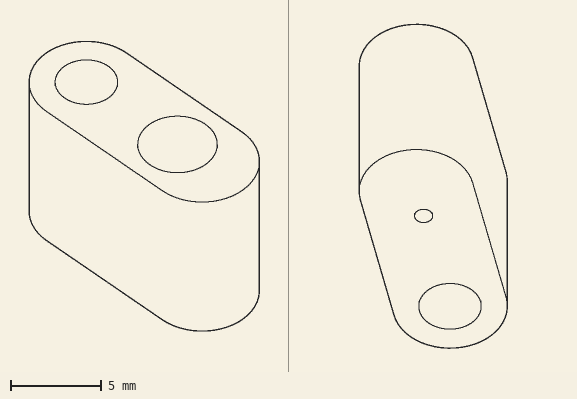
import cadquery as cq
import math

length = 15.24
width = 6.35
height = 10.17
end_centre_x = (length - width) / 2

through_diameter = 3.46

hole_spacing = 7.0
bore_diameter = 4.4
bore_depth = 7.62
outlet_diameter = 1.0
cone_angle = 118.0


def make_block():
    """Upright block with fully rounded ends, standing on Z = 0."""
    return cq.Workplane("XY").slot2D(length, width).extrude(height)


def make_through_hole():
    return (
        cq.Workplane("XY")
        .center(-end_centre_x, 0)
        .circle(through_diameter / 2)
        .extrude(height)
    )


def make_stepped_hole():
    """Half-section of the bore, cone and outlet, revolved about the hole axis."""
    bore_radius = bore_diameter / 2
    outlet_radius = outlet_diameter / 2
    cone_top = height - bore_depth
    cone_height = (bore_radius - outlet_radius) / math.tan(math.radians(cone_angle / 2))
    return (
        cq.Workplane("XZ")
        .polyline([
            (0, 0),
            (outlet_radius, 0),
            (outlet_radius, cone_top - cone_height),
            (bore_radius, cone_top),
            (bore_radius, height),
            (0, height),
        ])
        .close()
        .revolve(360, (0, 0), (0, 1))
        .translate((hole_spacing - end_centre_x, 0, 0))
    )


result = make_block().cut(make_through_hole()).cut(make_stepped_hole())